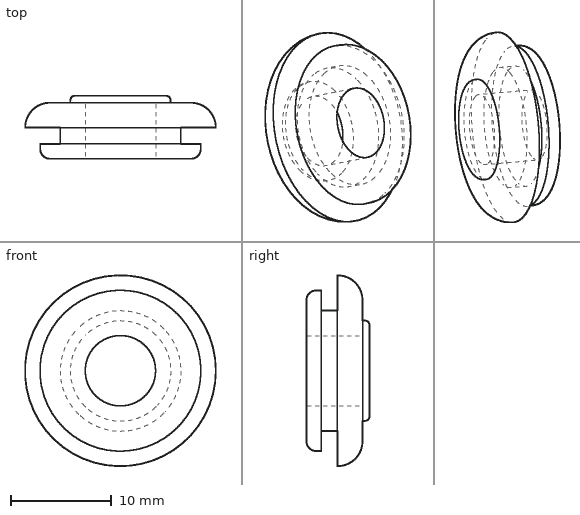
import cadquery as cq
import math

lip_diameter = 16.0
lip_thickness = 1.5
lip_round = 1.0
neck_diameter = 12.0
neck_length = 1.6
flange_diameter = 19.0
flange_thickness = 2.5
flange_round = flange_thickness
cap_diameter = 10.0
cap_thickness = 0.7
cap_round = 0.5
bore_diameter = 7.0

neck_start = lip_thickness
flange_start = neck_start + neck_length
cap_start = flange_start + flange_thickness
bore_depth = cap_start


def disc(diameter, start, thickness):
    """Plain disc on the Y axis, reaching from start towards +Y."""
    plane = cq.Workplane("XZ", origin=(0, start, 0))
    return plane.circle(diameter / 2).extrude(-thickness)


def rounded_disc(diameter, start, thickness, rim_round):
    """Disc on the Y axis whose +Y rim is rounded."""
    radius = diameter / 2
    end = start + thickness
    diagonal = rim_round * math.sin(math.radians(45))
    arc_middle = (radius - rim_round + diagonal, end - rim_round + diagonal)
    profile = cq.Workplane("XY").moveTo(0, start).lineTo(radius, start)
    if rim_round < thickness:
        profile = profile.lineTo(radius, end - rim_round)
    profile = profile.threePointArc(arc_middle, (radius - rim_round, end))
    profile = profile.lineTo(0, end).close()
    return profile.revolve(360, (0, 0, 0), (0, 1, 0))


lip = disc(lip_diameter, 0, lip_thickness).faces("<Y").edges().fillet(lip_round)
neck = disc(neck_diameter, neck_start, neck_length)
flange = rounded_disc(flange_diameter, flange_start, flange_thickness, flange_round)
cap = rounded_disc(cap_diameter, cap_start, cap_thickness, cap_round)
bore = disc(bore_diameter, 0, bore_depth)

result = lip.union(neck).union(flange).union(cap).cut(bore)